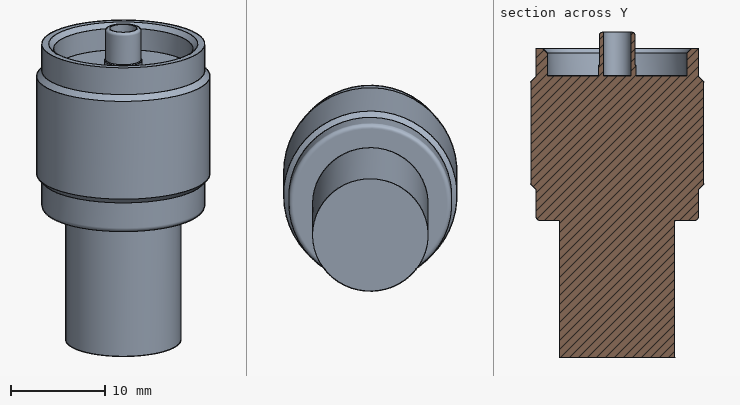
import cadquery as cq

total_height = 34.5
stem_height = 14.5
grip_bottom = 17.8
grip_top = 29.8
sleeve_top = 32.78

stem_diameter = 12.25
sleeve_diameter = 17.3
grip_diameter = 18.4
grip_chamfer_height = 0.6
sleeve_bottom_fillet = 0.5

socket_diameter = 14.75
socket_chamfer = 0.52
socket_floor = 29.88

pin_diameter = 3.8
pin_tip_fillet = 0.3
collar_diameter = 4.0
collar_height = 1.17
collar_chamfer = (collar_diameter - pin_diameter) / 2
pin_bore_diameter = 2.85


def cylinder(diameter, bottom, top):
    """Upright cylinder on the Z axis between two heights."""
    return cq.Workplane("XY").workplane(offset=bottom).circle(diameter / 2).extrude(top - bottom)


def make_body():
    """Stem, sleeve and raised grip, turned about the Z axis as one outline."""
    stem_radius = stem_diameter / 2
    sleeve_radius = sleeve_diameter / 2
    grip_radius = grip_diameter / 2
    return (
        cq.Workplane("XZ")
        .moveTo(0, 0)
        .lineTo(stem_radius, 0)
        .lineTo(stem_radius, stem_height)
        .lineTo(sleeve_radius - sleeve_bottom_fillet, stem_height)
        .radiusArc((sleeve_radius, stem_height + sleeve_bottom_fillet), -sleeve_bottom_fillet)
        .lineTo(sleeve_radius, grip_bottom)
        .lineTo(grip_radius, grip_bottom + grip_chamfer_height)
        .lineTo(grip_radius, grip_top - grip_chamfer_height)
        .lineTo(sleeve_radius, grip_top)
        .lineTo(sleeve_radius, sleeve_top)
        .lineTo(0, sleeve_top)
        .close()
        .revolve(360, (0, 0, 0), (0, 1, 0))
    )


def make_socket():
    """Round recess that flares outward at its mouth."""
    socket_radius = socket_diameter / 2
    return (
        cq.Workplane("XZ")
        .moveTo(0, socket_floor)
        .lineTo(socket_radius, socket_floor)
        .lineTo(socket_radius, sleeve_top - socket_chamfer)
        .lineTo(socket_radius + socket_chamfer, sleeve_top)
        .lineTo(0, sleeve_top)
        .close()
        .revolve(360, (0, 0, 0), (0, 1, 0))
    )


def make_pin():
    """Contact pin with a rounded tip and a chamfered collar at its foot."""
    shaft = cylinder(pin_diameter, socket_floor, total_height).faces(">Z").edges().fillet(pin_tip_fillet)
    collar = cylinder(collar_diameter, socket_floor, socket_floor + collar_height)
    collar = collar.faces(">Z").edges().chamfer(collar_chamfer)
    return shaft.union(collar)


def make_pin_bore():
    """Blind bore down the pin."""
    return cylinder(pin_bore_diameter, socket_floor, total_height)


pin = make_pin().cut(make_pin_bore())
result = make_body().cut(make_socket()).union(pin)